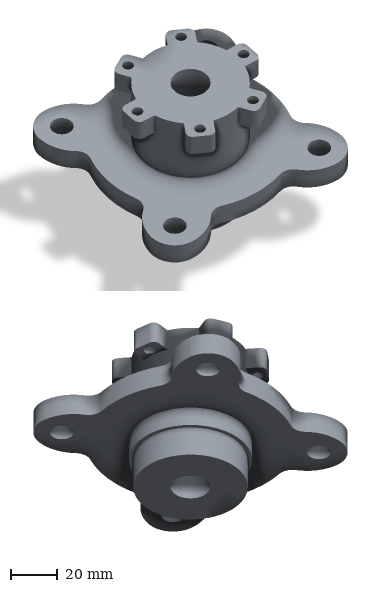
import cadquery as cq
import math

total_height = 65.0
spigot_height = 14.0
collar_height = 9.0
flange_thickness = 10.0
lug_thickness = 10.0
flange_bottom = spigot_height + collar_height
flange_top = flange_bottom + flange_thickness

spigot_diameter = 48.8
collar_diameter = 52.5
barrel_diameter = 50.5
bore_diameter = 17.0

flange_width = 102.5
ear_count = 4
ear_hole_offset = 39.0
ear_hole_diameter = 10.0
ear_flank_radius = 20.5
side_reach = 44.4
side_arc_radius = 48.2
valley_radius = 6.7

lug_count = 6
lug_reach = 33.3
lug_inner_end = 16.4
lug_width = 12.7
lug_corner_radius = 3.0
lug_hole_diameter = 5.0
lug_hole_circle_radius = 28.7


def valley_corner():
    """Where the +X side arc meets the flank arc of the +X+Y ear."""
    side_center_x = side_reach - side_arc_radius
    dx = flange_width / 2 - ear_flank_radius - side_center_x
    dy = ear_hole_offset
    spacing = math.hypot(dx, dy)
    along = (spacing**2 + side_arc_radius**2 - ear_flank_radius**2) / (2 * spacing)
    across = math.sqrt(side_arc_radius**2 - along**2)
    x = side_center_x + (along * dx + across * dy) / spacing
    y = (along * dy - across * dx) / spacing
    return x, y


def turned(point, angle):
    """Rotate a point about the part axis by an angle in degrees."""
    x, y = point
    c = math.cos(math.radians(angle))
    s = math.sin(math.radians(angle))
    return x * c - y * s, x * s + y * c


def make_flange():
    corner_x, corner_y = valley_corner()
    half_width = flange_width / 2
    tip_radius = half_width - ear_hole_offset
    tip = ear_hole_offset + tip_radius / math.sqrt(2)

    flank_center_x = half_width - ear_flank_radius
    flank_angle = math.atan2(corner_y - ear_hole_offset, corner_x - flank_center_x) / 2
    flank_x = flank_center_x + ear_flank_radius * math.cos(flank_angle)
    flank_y = ear_hole_offset + ear_flank_radius * math.sin(flank_angle)

    outline = cq.Workplane("XY", origin=(0, 0, flange_bottom)).moveTo(corner_x, -corner_y)
    for i in range(ear_count):
        angle = i * 360 / ear_count
        arcs = [
            ((side_reach, 0), (corner_x, corner_y)),
            ((flank_x, flank_y), (half_width, ear_hole_offset)),
            ((tip, tip), (ear_hole_offset, half_width)),
            ((flank_y, flank_x), (corner_y, corner_x)),
        ]
        for middle, end in arcs:
            outline = outline.threePointArc(turned(middle, angle), turned(end, angle))
    flange = outline.close().extrude(flange_thickness)

    middle_z = flange_bottom + flange_thickness / 2
    for i in range(ear_count):
        for corner in ((corner_x, corner_y), (corner_x, -corner_y)):
            x, y = turned(corner, i * 360 / ear_count)
            edge = cq.selectors.NearestToPointSelector((x, y, middle_z))
            flange = flange.edges("|Z").edges(edge).fillet(valley_radius)

    hole_spacing = 2 * ear_hole_offset
    holes = (
        cq.Workplane("XY", origin=(0, 0, flange_bottom))
        .rarray(hole_spacing, hole_spacing, 2, 2)
        .circle(ear_hole_diameter / 2)
        .extrude(flange_thickness)
    )
    return flange.cut(holes)


def make_lug():
    """One lug along +Y, running inward into the barrel."""
    lug_length = lug_reach - lug_inner_end
    return (
        cq.Workplane("XY", origin=(0, lug_inner_end + lug_length / 2, total_height - lug_thickness))
        .rect(lug_width, lug_length)
        .extrude(lug_thickness)
        .edges("|Z and >Y")
        .fillet(lug_corner_radius)
    )


def make_lug_holes():
    return (
        cq.Workplane("XY", origin=(0, 0, total_height - lug_thickness))
        .polarArray(lug_hole_circle_radius, 90, 360, lug_count)
        .circle(lug_hole_diameter / 2)
        .extrude(lug_thickness)
    )


def make_cylinder(diameter, bottom, top):
    return cq.Workplane("XY", origin=(0, 0, bottom)).circle(diameter / 2).extrude(top - bottom)


body = make_cylinder(spigot_diameter, 0, spigot_height)
body = body.union(make_cylinder(collar_diameter, spigot_height, flange_bottom))
body = body.union(make_flange())
body = body.union(make_cylinder(barrel_diameter, flange_top, total_height))

lug = make_lug()
for i in range(lug_count):
    body = body.union(lug.rotate((0, 0, 0), (0, 0, 1), i * 360 / lug_count))

body = body.cut(make_lug_holes())
result = body.cut(make_cylinder(bore_diameter, 0, total_height))